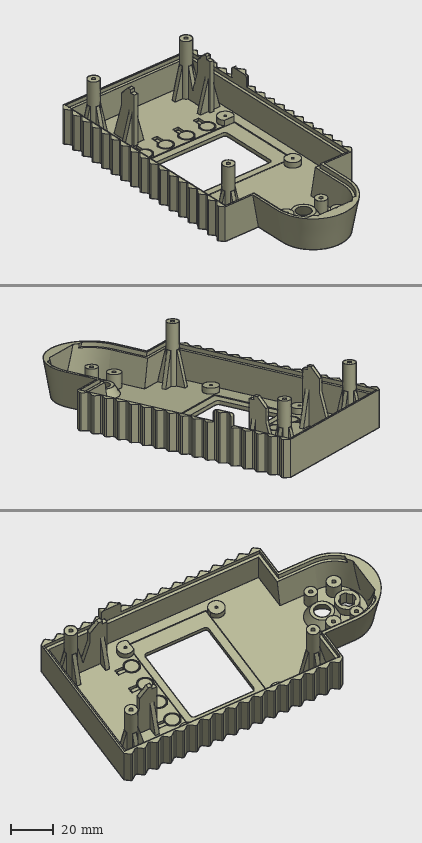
import cadquery as cq

FLOOR = 2.5
RIM = 19.0
LIP_DEPTH = 2.0
LEDGE = RIM - LIP_DEPTH

BODY_LENGTH = 118.0
BODY_HALF_WIDTH = 38.4
WALL_X = 2.5
WALL_Y = 2.7
LIP_THICKNESS = 1.0

TOOTH_COUNT = 17
TOOTH_HEIGHT = 2.0
TOOTH_BASE = 6.0
TOOTH_TIP = 1.0
TOOTH_PITCH = (BODY_LENGTH - TOOTH_BASE) / (TOOTH_COUNT - 1)

OVERALL_LENGTH = 157.5
TAIL_RADIUS = 21.7
TAIL_CENTRE_X = OVERALL_LENGTH - TAIL_RADIUS
TAIL_TAPER = 3.5
TAIL_WALL = 3.0
TAIL_LIP = 1.5
TAIL_LEDGE_END_X = 149.5
TAIL_POCKET_END_X = 151.5

TAB_START_X = 31.8
TAB_END_X = 42.5
TAB_TOP = 25.2
TAB_FILLET = 1.4

RECESS_X = (41.9, 84.0)
RECESS_Y = (-27.2, 30.5)
RECESS_DEPTH = 0.5
WINDOW_X = (45.7, 79.8)
WINDOW_Y = (-23.0, 22.0)
WINDOW_CORNER = 1.7

DISPLAY_BOSS_X = (39.0, 88.0)
DISPLAY_BOSS_Y = (-30.2, 27.5)
DISPLAY_BOSS_RADIUS = 4.1
DISPLAY_BOSS_HEIGHT = 3.0
DISPLAY_HOLE_RADIUS = 0.6

POST_NEAR_X = 9.9
POST_FAR_X = 107.9
POST_Y = 28.0
POST_RADIUS = 3.1
POST_TOP = 34.0
POST_HOLE_RADIUS = 1.0
RIB_THICKNESS = 2.2
RIB_TOP = 20.5
POST_RIB_REACH = 7.5

HOOK_Y = (-18.1, POST_Y)
HOOK_FOOT_X = 14.2
HOOK_BACK_X = 19.5
HOOK_PEAK_X = 24.2
HOOK_STEP_X = 26.3
HOOK_FRONT_X = 28.8
HOOK_SHOULDER = 27.2
HOOK_STEP = 30.4
HOOK_TOP = 32.3
HOOK_RIB_REACH = 6.0

BUTTON_COUNT = 4
BUTTON_X = 37.0
BUTTON_FIRST_Y = -19.5
BUTTON_PITCH = 12.6
BUTTON_RADIUS = 3.5
BUTTON_GAP = 0.6
ARM_ROOT_X = 29.0
ARM_HALF_WIDTH = 1.0
ARM_THICKNESS = 1.7
HINGE_WIDTH = 0.6
HINGE_THICKNESS = 1.0

TAIL_BOSS_Y = 10.5
TAIL_BOSS_TOP = 9.9
TAIL_BOSS_HOLE_RADIUS = 1.0
INNER_BOSS_X = 129.0
OUTER_BOSS_X = 141.4
SMALL_BOSS_RADIUS = 3.1
LARGE_BOSS_RADIUS = 3.6
COLLAR_TOP = 7.0
CONE_X = INNER_BOSS_X
CONE_BASE_RADIUS = 8.7
CONE_TOP_RADIUS = 5.8
CONE_HOLE_TOP_RADIUS = 4.0
CONE_HOLE_BASE_RADIUS = 7.1
COLLAR_X = 142.5
COLLAR_RADIUS = 6.0
COLLAR_HOLE_RADIUS = 4.1
GRIP_RADIUS = 3.1
GRIP_CENTRE_RADIUS = 6.6
GRIP_COUNT = 4


def box(x_range, y_range, z_range):
    """Box between two limits on each axis."""
    return cq.Workplane("XY").box(
        x_range[1] - x_range[0], y_range[1] - y_range[0], z_range[1] - z_range[0], centered=False
    ).translate((x_range[0], y_range[0], z_range[0]))


def cylinder(x, y, radius, bottom, top):
    """Upright cylinder."""
    return cq.Workplane("XY", origin=(x, y, bottom)).circle(radius).extrude(top - bottom)


def frustum(x, y, base_radius, top_radius, bottom, top):
    """Upright circular frustum."""
    return (
        cq.Workplane("XY", origin=(x, y, bottom))
        .circle(base_radius)
        .workplane(offset=top - bottom)
        .circle(top_radius)
        .loft(ruled=True)
    )


def toothed_prism(height):
    """Body outline with trapezoidal teeth on both long sides, extruded from Z = 0."""
    tip_inset = (TOOTH_BASE - TOOTH_TIP) / 2
    tip_y = BODY_HALF_WIDTH + TOOTH_HEIGHT
    side = []
    for i in range(TOOTH_COUNT):
        start = i * TOOTH_PITCH
        end = start + TOOTH_BASE
        side += [
            (start, BODY_HALF_WIDTH),
            (start + tip_inset, tip_y),
            (end - tip_inset, tip_y),
            (end, BODY_HALF_WIDTH),
        ]
    mirrored = [(x, -y) for x, y in reversed(side)]
    return cq.Workplane("XY").polyline(side + mirrored).close().extrude(height)


def tail_outline(plane, radius):
    """Closed outline with a round end, drawn on the given workplane."""
    start_x = BODY_LENGTH - WALL_X
    return (
        plane.moveTo(start_x, -radius)
        .lineTo(TAIL_CENTRE_X, -radius)
        .threePointArc((TAIL_CENTRE_X + radius, 0), (TAIL_CENTRE_X, radius))
        .lineTo(start_x, radius)
        .close()
    )


def tail_prism(inset, bottom, top):
    """Tapered round-ended solid, set in from the tail's outer surface."""
    slope = TAIL_TAPER / RIM
    bottom_radius = TAIL_RADIUS - inset - slope * (RIM - bottom)
    top_radius = TAIL_RADIUS - inset - slope * (RIM - top)
    lower = tail_outline(cq.Workplane("XY", origin=(0, 0, bottom)), bottom_radius)
    return tail_outline(lower.workplane(offset=top - bottom), top_radius).loft(ruled=True)


def body_box(inset_x, inset_y, bottom, top):
    """Box set in from the flat sides of the body."""
    half_width = BODY_HALF_WIDTH - inset_y
    return box((inset_x, BODY_LENGTH - inset_x), (-half_width, half_width), (bottom, top))


def shell():
    """Open tray: toothed body and tail with one common cavity and a stepped rim."""
    all_y = (-BODY_HALF_WIDTH, BODY_HALF_WIDTH)
    cavity = tail_prism(TAIL_WALL, FLOOR, RIM)
    cavity = cavity.intersect(box((0, TAIL_POCKET_END_X), all_y, (0, RIM)))
    cavity = cavity.union(body_box(WALL_X, WALL_Y, FLOOR, RIM))
    lip = tail_prism(TAIL_LIP, LEDGE, RIM)
    lip = lip.intersect(box((0, TAIL_LEDGE_END_X), all_y, (0, RIM)))
    lip = lip.union(body_box(LIP_THICKNESS, LIP_THICKNESS, LEDGE, RIM))
    return toothed_prism(RIM).union(tail_prism(0, 0, RIM)).cut(cavity).cut(lip)


def tab():
    """Stretch of the +Y lip and teeth carried up above the rim."""
    limits = box(
        (TAB_START_X, TAB_END_X),
        (BODY_HALF_WIDTH - LIP_THICKNESS, BODY_HALF_WIDTH + TOOTH_HEIGHT),
        (LEDGE, TAB_TOP),
    )
    limits = limits.edges("|Y and >Z").fillet(TAB_FILLET)
    return toothed_prism(TAB_TOP).intersect(limits)


def upright_plate(points, y):
    """Plate of rib thickness with an X-Z profile, centred on y."""
    plane = cq.Workplane("XZ", origin=(0, y, 0))
    return plane.polyline(points).close().extrude(RIB_THICKNESS / 2, both=True)


def gusset(x, y, reach, top_half_width):
    """Symmetric tapering rib lying along X, centred on (x, y)."""
    points = [
        (x - reach, FLOOR),
        (x + reach, FLOOR),
        (x + top_half_width, RIB_TOP),
        (x - top_half_width, RIB_TOP),
    ]
    return upright_plate(points, y)


def cross_gusset(x, y, reach, top_half_width):
    """Symmetric tapering rib lying along Y, centred on (x, y)."""
    rib = gusset(x, y, reach, top_half_width)
    return rib.rotate((x, y, 0), (x, y, 1), 90)


def post(x, y):
    """Tall post with four gusset ribs."""
    return (
        cylinder(x, y, POST_RADIUS, FLOOR, POST_TOP)
        .union(gusset(x, y, POST_RIB_REACH, POST_RADIUS))
        .union(cross_gusset(x, y, POST_RIB_REACH, POST_RADIUS))
    )


def hook(y):
    """Board hook plate with a stepped top and one cross rib."""
    plate = upright_plate(
        [
            (HOOK_FOOT_X, FLOOR),
            (HOOK_FRONT_X, FLOOR),
            (HOOK_FRONT_X, HOOK_STEP),
            (HOOK_STEP_X, HOOK_STEP),
            (HOOK_STEP_X, HOOK_TOP),
            (HOOK_PEAK_X, HOOK_TOP),
            (HOOK_BACK_X, HOOK_SHOULDER),
            (HOOK_BACK_X, RIB_TOP),
        ],
        y,
    )
    return plate.union(cross_gusset(HOOK_STEP_X, y, HOOK_RIB_REACH, RIB_THICKNESS / 2))


def button_cut(y):
    """Gap round one button and along its arm, plus the thinning of the arm and its hinge."""
    gap_radius = BUTTON_RADIUS + BUTTON_GAP
    slot_half_width = ARM_HALF_WIDTH + BUTTON_GAP
    disc = cylinder(BUTTON_X, y, BUTTON_RADIUS, 0, FLOOR)
    arm_x = (ARM_ROOT_X, BUTTON_X)
    arm_y = (y - ARM_HALF_WIDTH, y + ARM_HALF_WIDTH)
    arm = box(arm_x, arm_y, (0, ARM_THICKNESS))
    hinge_x = (ARM_ROOT_X, ARM_ROOT_X + HINGE_WIDTH)
    arm = arm.cut(box(hinge_x, arm_y, (HINGE_THICKNESS, ARM_THICKNESS)))
    around = cylinder(BUTTON_X, y, gap_radius, 0, FLOOR)
    around = around.union(box(arm_x, (y - slot_half_width, y + slot_half_width), (0, FLOOR)))
    return around.cut(disc).cut(arm)


def gripping_bore():
    """Bore of the straight collar, narrowed by rounded grip ribs on its diagonals."""
    bore = cylinder(COLLAR_X, 0, COLLAR_HOLE_RADIUS, 0, COLLAR_TOP)
    grips = (
        cq.Workplane("XY", origin=(COLLAR_X, 0, 0))
        .polarArray(GRIP_CENTRE_RADIUS, 180 / GRIP_COUNT, 360, GRIP_COUNT)
        .circle(GRIP_RADIUS)
        .extrude(COLLAR_TOP)
    )
    return bore.cut(grips)


def screw_hole(x, y, radius, top):
    """Blind screw hole from the top of a boss down to the floor."""
    return cylinder(x, y, radius, FLOOR, top)


result = shell().union(tab())

for x, y in ((POST_NEAR_X, POST_Y), (POST_NEAR_X, -POST_Y), (POST_FAR_X, -POST_Y)):
    result = result.union(post(x, y))
    result = result.cut(screw_hole(x, y, POST_HOLE_RADIUS, POST_TOP))

for y in HOOK_Y:
    result = result.union(hook(y))

display_boss_top = FLOOR + DISPLAY_BOSS_HEIGHT
for x in DISPLAY_BOSS_X:
    for y in DISPLAY_BOSS_Y:
        result = result.union(cylinder(x, y, DISPLAY_BOSS_RADIUS, FLOOR, display_boss_top))
        result = result.cut(screw_hole(x, y, DISPLAY_HOLE_RADIUS, display_boss_top))
result = result.cut(box(RECESS_X, RECESS_Y, (FLOOR - RECESS_DEPTH, display_boss_top)))
window = box(WINDOW_X, WINDOW_Y, (0, FLOOR)).edges("|Z").fillet(WINDOW_CORNER)
result = result.cut(window)

for i in range(BUTTON_COUNT):
    result = result.cut(button_cut(BUTTON_FIRST_Y + i * BUTTON_PITCH))

cone = frustum(CONE_X, 0, CONE_BASE_RADIUS, CONE_TOP_RADIUS, FLOOR, COLLAR_TOP)
result = result.union(cone).union(cylinder(COLLAR_X, 0, COLLAR_RADIUS, FLOOR, COLLAR_TOP))
result = result.cut(frustum(CONE_X, 0, CONE_HOLE_BASE_RADIUS, CONE_HOLE_TOP_RADIUS, 0, COLLAR_TOP))
result = result.cut(gripping_bore())

tail_bosses = (
    (INNER_BOSS_X, TAIL_BOSS_Y, SMALL_BOSS_RADIUS),
    (INNER_BOSS_X, -TAIL_BOSS_Y, LARGE_BOSS_RADIUS),
    (OUTER_BOSS_X, TAIL_BOSS_Y, LARGE_BOSS_RADIUS),
    (OUTER_BOSS_X, -TAIL_BOSS_Y, SMALL_BOSS_RADIUS),
)
for x, y, radius in tail_bosses:
    result = result.union(cylinder(x, y, radius, FLOOR, TAIL_BOSS_TOP))
    result = result.cut(screw_hole(x, y, TAIL_BOSS_HOLE_RADIUS, TAIL_BOSS_TOP))